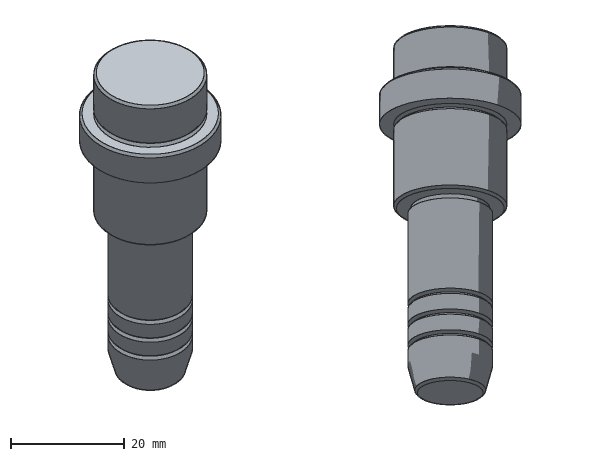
import cadquery as cq

total_length = 66.0
flange_radius = 25.0 / 2
body_radius = 20.0 / 2
shank_radius = 15.0 / 2

edge_chamfer = 0.45
groove_depth = 0.495
groove_width = 2 * groove_depth

head_length = 8.0
flange_thickness = 6.0
body_length = 15.0
neck_length = 1.0
barb_width = 3.0
barb_count = 3
tip_length = 5.0
tip_radius = 6.3

head_bottom = total_length - head_length
flange_top = head_bottom - groove_width
flange_bottom = flange_top - flange_thickness
body_top = flange_bottom - groove_width
body_bottom = body_top - body_length
shank_top = body_bottom - neck_length
neck_radius = shank_radius - groove_depth
barb_pitch = barb_width + groove_width


def cylinder(radius, bottom, top):
    """Solid cylinder on the Z axis between two heights."""
    return cq.Workplane("XY").workplane(offset=bottom).circle(radius).extrude(top - bottom)


def v_groove(radius, bottom):
    """Ring that cuts a 45 degree V groove into a cylinder of the given radius."""
    outline = [
        (radius, bottom),
        (radius - groove_depth, bottom + groove_depth),
        (radius, bottom + groove_width),
    ]
    return cq.Workplane("XZ").polyline(outline).close().revolve(360, (0, 0, 0), (0, 1, 0))


body = cylinder(body_radius, body_bottom, total_length).edges().chamfer(edge_chamfer)
body = body.cut(v_groove(body_radius, flange_top))
body = body.cut(v_groove(body_radius, body_top))

flange = cylinder(flange_radius, flange_bottom, flange_top).faces(">Z").edges().chamfer(edge_chamfer)

neck = cylinder(neck_radius, shank_top, body_bottom)

shank = cylinder(shank_radius, tip_length, shank_top)
for barb in range(barb_count):
    groove_bottom = tip_length + barb_width + barb * barb_pitch
    shank = shank.cut(v_groove(shank_radius, groove_bottom))

tip_outline = [
    (0, 0),
    (tip_radius - edge_chamfer, 0),
    (tip_radius, edge_chamfer),
    (shank_radius, tip_length),
    (0, tip_length),
]
tip = cq.Workplane("XZ").polyline(tip_outline).close().revolve(360, (0, 0, 0), (0, 1, 0))

result = body.union(flange).union(neck).union(shank).union(tip)